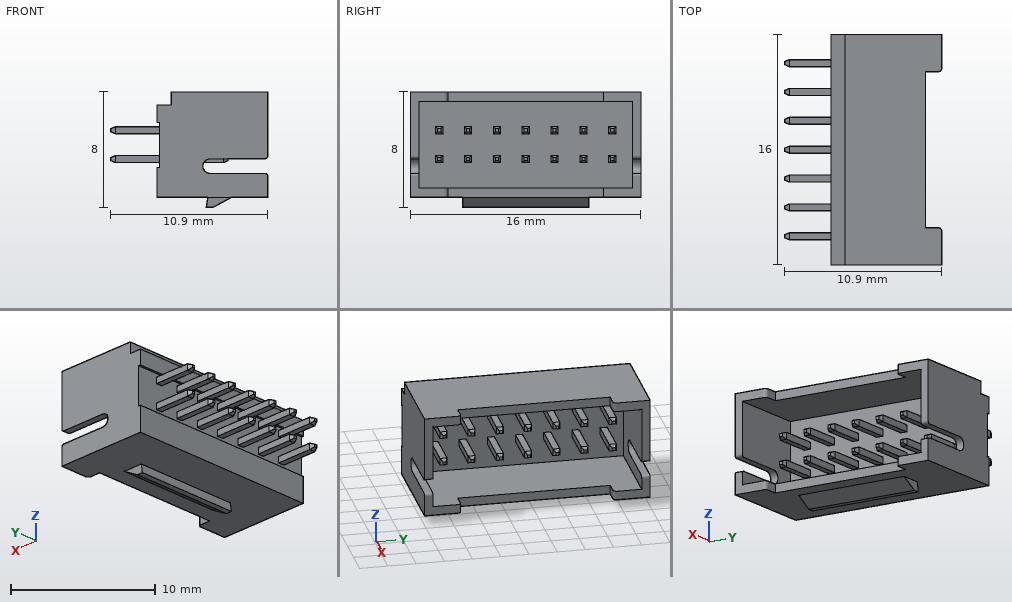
import cadquery as cq


overall_length = 10.9
overall_height = 8.0

body_length = 7.7
body_width = 16.0
body_height = 7.3
step_length = 1.0
step_depth = 0.9
back_recess_depth = 0.17
back_recess_height = 3.1
back_recess_middle = 3.63

side_wall = 0.6
top_bottom_wall = 0.65
floor_thickness = 1.6

notch_width = 10.8
notch_depth = 1.12
notch_lip_radius = 0.25

slot_height = 1.0
slot_length = 4.5
slot_middle = 2.16
slot_lip_radius = 0.2

latch_width = 8.75
latch_height = overall_height - body_height
latch_heel = 3.53
latch_tip_start = 3.42
latch_tip_end = 3.9
latch_toe = 5.2

pin_columns = 7
pin_rows = 2
pin_pitch = 2.0
pin_size = 0.5
pin_tip_size = 0.22
pin_taper_length = 0.33
pin_back_overhang = overall_length - body_length
pin_front_end = 4.95


def box(x_start, x_end, width, z_start, z_end):
    """Block between the given X and Z limits, centred on Y."""
    size = (x_end - x_start, width, z_end - z_start)
    return cq.Workplane("XY").box(*size, centered=(False, True, False)).translate((x_start, 0, z_start))


def make_housing():
    """Stepped outer block with a shallow recess across its back face."""
    housing = box(0, body_length, body_width, 0, body_height)
    step = box(0, step_length, body_width, body_height - step_depth, body_height)
    recess_bottom = back_recess_middle - back_recess_height / 2
    recess = box(0, back_recess_depth, body_width, recess_bottom, recess_bottom + back_recess_height)
    return housing.cut(step).cut(recess)


def make_cavity():
    """Cutter for the rectangular mating cavity, leaving the floor and four walls."""
    return box(
        floor_thickness,
        body_length,
        body_width - 2 * side_wall,
        top_bottom_wall,
        body_height - top_bottom_wall,
    )


def make_notch():
    """Cutter for the mouth notch, flaring at the mouth to round its two corners."""
    half_width = notch_width / 2
    notch_floor = body_length - notch_depth
    lip_start = body_length - notch_lip_radius
    return (
        cq.Workplane("XY")
        .moveTo(notch_floor, -half_width)
        .lineTo(lip_start, -half_width)
        .radiusArc((body_length, -half_width - notch_lip_radius), notch_lip_radius)
        .lineTo(body_length, half_width + notch_lip_radius)
        .radiusArc((lip_start, half_width), notch_lip_radius)
        .lineTo(notch_floor, half_width)
        .close()
        .extrude(body_height)
    )


def make_side_slot():
    """Cutter for the side-wall slots, with a round inner end and rounded lips at the mouth."""
    half_height = slot_height / 2
    slot_end = body_length - slot_length
    round_start = slot_end + half_height
    lip_start = body_length - slot_lip_radius
    bottom = slot_middle - half_height
    top = slot_middle + half_height
    return (
        cq.Workplane("XZ")
        .moveTo(round_start, bottom)
        .lineTo(lip_start, bottom)
        .radiusArc((body_length, bottom - slot_lip_radius), slot_lip_radius)
        .lineTo(body_length, top + slot_lip_radius)
        .radiusArc((lip_start, top), slot_lip_radius)
        .lineTo(round_start, top)
        .threePointArc((slot_end, slot_middle), (round_start, bottom))
        .close()
        .extrude(body_width / 2, both=True)
    )


def make_latch():
    """Undercut wedge hanging below the bottom wall."""
    outline = [
        (latch_heel, 0),
        (latch_tip_start, -latch_height),
        (latch_tip_end, -latch_height),
        (latch_toe, 0),
    ]
    return cq.Workplane("XZ").polyline(outline).close().extrude(latch_width / 2, both=True)


def make_taper(base_x, direction):
    """Pyramid-shaped pin end that narrows along X from base_x."""
    return (
        cq.Workplane("YZ", origin=(base_x, 0, 0))
        .rect(pin_size, pin_size)
        .workplane(offset=direction * pin_taper_length)
        .rect(pin_tip_size, pin_tip_size)
        .loft()
    )


def make_pin():
    """Square pin along X with both ends tapered, centred on Y and Z."""
    shank_start = -pin_back_overhang + pin_taper_length
    shank_end = pin_front_end - pin_taper_length
    shank = box(shank_start, shank_end, pin_size, -pin_size / 2, pin_size / 2)
    return shank.union(make_taper(shank_start, -1)).union(make_taper(shank_end, 1))


def add_pins(part):
    """Grid of pins centred on the housing."""
    pin = make_pin()
    for row in range(pin_rows):
        z = body_height / 2 + (row - (pin_rows - 1) / 2) * pin_pitch
        for column in range(pin_columns):
            y = (column - (pin_columns - 1) / 2) * pin_pitch
            part = part.union(pin.translate((0, y, z)))
    return part


housing = make_housing().cut(make_cavity()).cut(make_notch()).cut(make_side_slot())
result = add_pins(housing.union(make_latch()))